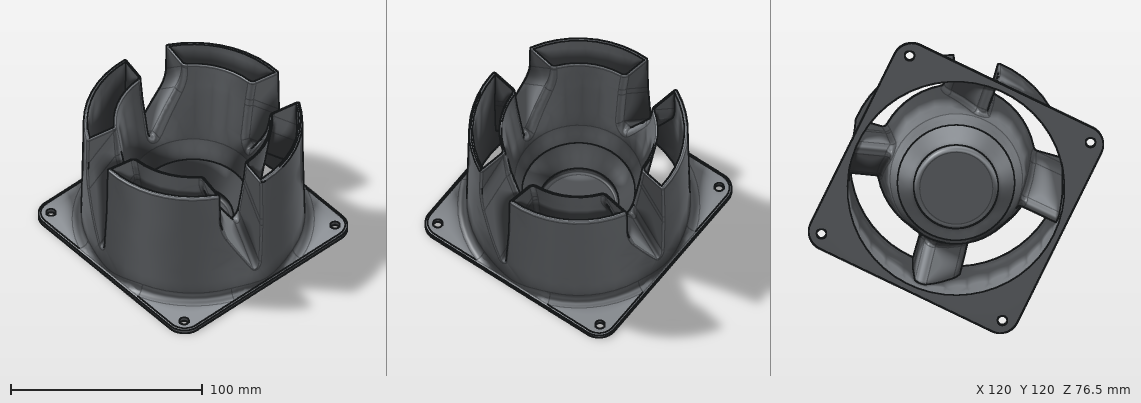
import cadquery as cq
import math

flange_side = 120.0
flange_thickness = 2.8
flange_corner = 10.0
flange_bevel_width = 1.2
flange_bevel_height = 0.5
hole_spacing = 105.0
hole_diameter = 5.0

height = 76.5
shell_base_radius = 117.0 / 2
shell_top_radius = 57.1
shell_wall = 1.9
base_fillet = 4.8
edge_round = 1.0

hub_rim_radius = 40.3
hub_shoulder_radius = 33.5
hub_shoulder_height = 28.1
hub_waist_radius = 29.5
hub_waist_height = 16.8
hub_floor_radius = 21.0
hub_step_height = 5.4
hub_floor_height = 2.4
hub_floor_fillet = 1.9

slot_count = 4
slot_angle = 10.0
slot_descent = 45.0
slot_reach = 56.4
slot_left = -16.5
slot_left_knee_height = 49.1
slot_left_knee_round = 15.6
slot_foot = 4.9
slot_foot_height = 10.8
slot_foot_round = 2.4
slot_right = 6.6
slot_right_knee_height = 46.8
slot_right_knee_round = 48.0
slot_lip_round = 3.5
duct_wall = 1.1

overrun = 2.4

hub_seam_angle = 40.0
edge_samples = (0.2, 0.5, 0.8)
touch = 0.001


def spin(outline):
    """Solid of revolution about Z from radius and height pairs."""
    return cq.Workplane("XZ").polyline(outline).close().revolve(360, (0, 0, 0), (0, 1, 0))


def radius_at(z, low, high):
    """Radius at height z on the straight line through two radius and height pairs."""
    return low[0] + (high[0] - low[0]) * (z - low[1]) / (high[1] - low[1])


def shell_radius(z):
    return radius_at(z, (shell_base_radius, flange_thickness), (shell_top_radius, height))


def shell_plug(bottom, top, inset):
    """Solid plug that follows the shell's taper, shrunk by inset."""
    low = (shell_radius(bottom) - inset, bottom)
    high = (shell_radius(top) - inset, top)
    return spin([(0, bottom), low, high, (0, top)])


def hub_space(grow):
    """Space inside the hub cup, enlarged by grow."""
    top = height + overrun
    shoulder = (hub_shoulder_radius, hub_shoulder_height)
    top_radius = radius_at(top, shoulder, (hub_rim_radius, height))
    profile = [
        (hub_floor_radius, hub_floor_height - grow),
        (hub_floor_radius, hub_step_height),
        (hub_waist_radius, hub_waist_height),
        shoulder,
        (top_radius, top),
    ]
    outline = [(0, top), (0, hub_floor_height - grow)]
    outline += [(radius + grow, z) for radius, z in profile]
    space = spin(outline).faces("<Z").edges().fillet(hub_floor_fillet + grow)
    return space.rotate((0, 0, 0), (0, 0, 1), hub_seam_angle)


def slot_space(grow):
    """One slot toward -Y, enlarged by grow: a section swept outward and down."""
    slope = math.radians(slot_descent)
    flatten = math.cos(slope)
    left_knee = (slot_left, slot_left_knee_height * flatten)
    foot = (slot_foot, slot_foot_height * flatten)
    right_knee = (slot_right, slot_right_knee_height * flatten)
    ceiling = 2 * height
    corners = [(slot_left, ceiling), left_knee, foot, right_knee, (slot_right, ceiling)]

    section = cq.Wire.makePolygon([cq.Vector(x, y) for x, y in corners], close=True)
    rounds = [
        (left_knee, slot_left_knee_round),
        (foot, slot_foot_round),
        (right_knee, slot_right_knee_round),
    ]
    for corner, radius in rounds:
        nearest = min(section.Vertices(), key=lambda v: math.dist((v.X, v.Y), corner))
        section = section.fillet2D(radius, [nearest])
    if grow:
        section = section.offset2D(grow)[0]

    direction = cq.Vector(0, -math.cos(slope), -math.sin(slope))
    start = cq.Vector(0, -slot_reach, 0) - direction * height
    sweep = cq.Workplane("XY").newObject([section]).toPending().extrude(2 * height).val()
    sweep = sweep.moved(cq.Location(cq.Plane(origin=start, xDir=(1, 0, 0), normal=direction)))
    block = 4 * height
    below_top = cq.Workplane("XY").box(block, block, block)
    below_top = below_top.translate((0, 0, height + overrun - block / 2))
    return cq.Workplane(sweep).intersect(below_top).rotate((0, 0, 0), (0, 0, 1), -slot_angle)


def lies_on(edge, faces):
    """True if the edge runs along one of the faces."""
    points = [cq.Vertex.makeVertex(*edge.positionAt(t).toTuple()) for t in edge_samples]
    return all(min(face.distance(p) for face in faces) < touch for p in points)


def open_space(grow):
    """Hub cup and slots together, enlarged by grow, with rounded lips where they meet."""
    hub = hub_space(grow)
    hub_sides = hub.faces("not |Z").vals()
    joined = hub.union(slot_space(grow))
    lips = [
        edge for edge in joined.edges().vals()
        if edge.geomType() not in ("LINE", "CIRCLE") and lies_on(edge, hub_sides)
    ]
    quarter = joined.newObject(lips).fillet(slot_lip_round - grow)
    space = quarter
    for i in range(1, slot_count):
        space = space.union(quarter.rotate((0, 0, 0), (0, 0, 1), 360 / slot_count * i))
    return space


def flange_and_plug():
    """Flange and solid shell, joined by a concave sweep."""
    body = cq.Workplane("XY").rect(flange_side, flange_side).extrude(flange_thickness)
    body = body.edges("|Z").fillet(flange_corner)
    body = body.faces(">Z").edges().chamfer(flange_bevel_height, flange_bevel_width)
    body = body.union(shell_plug(0, height, 0))
    foot = [
        edge for edge in body.edges("%CIRCLE").vals()
        if abs(edge.radius() - shell_base_radius) < touch and edge.Center().z > flange_thickness / 2
    ]
    return body.newObject(foot).fillet(base_fillet)


def is_on_shell(edge):
    """True for an edge above the flange that runs around the outer wall."""
    if edge.geomType() == "LINE":
        return False
    points = [edge.positionAt(t) for t in edge_samples]
    above_foot = flange_thickness + base_fillet + edge_round
    return all(
        p.z > above_foot and abs(math.hypot(p.x, p.y) - shell_radius(p.z)) < touch
        for p in points
    )


def round_outer_edges(body):
    """Round the rim and the slot edges of the outer wall."""
    rim = body.faces(">Z").edges().vals()
    slot_edges = [
        edge for edge in body.edges().vals()
        if is_on_shell(edge) and not any(edge.isSame(other) for other in rim)
    ]
    return body.newObject(rim + slot_edges).fillet(edge_round)


solid = flange_and_plug().cut(open_space(0))
solid = round_outer_edges(solid)

inside = shell_plug(-overrun, height + overrun, shell_wall).cut(open_space(duct_wall))
hollow = solid.cut(inside)

holes = cq.Workplane("XY").rect(hole_spacing, hole_spacing, forConstruction=True).vertices()
result = hollow.cut(holes.circle(hole_diameter / 2).extrude(flange_thickness))